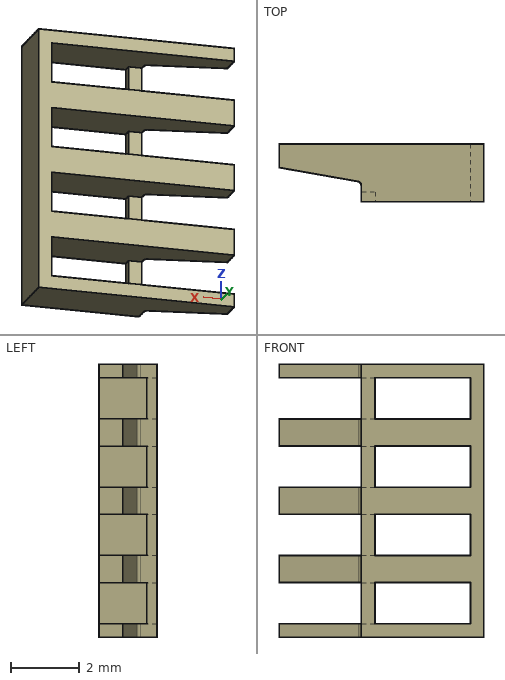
import cadquery as cq
import math

length = 6.0
depth = 1.7
height = 8.0

finger_length = 2.4
tip_depth = 0.7
taper_angle = 10.0
root_fillet = 0.1

gap_count = 4
pitch = height / gap_count
gap_height = 1.2

end_wall_width = 0.4
post_width = 0.41
post_thickness = 0.3

overshoot = 1.0


def make_blank():
    """Comb side profile, extruded over the full height."""
    root_y = depth - tip_depth - finger_length * math.tan(math.radians(taper_angle))
    blank = (
        cq.Workplane("XY")
        .moveTo(finger_length, 0)
        .lineTo(length, 0)
        .lineTo(length, depth)
        .lineTo(0, depth)
        .lineTo(0, depth - tip_depth)
        .lineTo(finger_length, root_y)
        .close()
        .extrude(height)
    )
    root_edge = cq.selectors.NearestToPointSelector((finger_length, root_y, height / 2))
    return blank.edges("|Z").edges(root_edge).fillet(root_fillet)


def make_cutter(x_start, x_end, y_start, z_start):
    """Box one gap high that runs out through the back of the part."""
    cutter_length = x_end - x_start
    cutter_depth = depth + overshoot - y_start
    cutter = cq.Workplane("XY").box(cutter_length, cutter_depth, gap_height, centered=False)
    return cutter.translate((x_start, y_start, z_start))


def cut_opening(body, gap_bottom):
    """Open one gap between neighbouring fingers, leaving the post across its front."""
    window_start = finger_length + post_width
    window_end = length - end_wall_width
    finger_gap = make_cutter(-overshoot, finger_length, -overshoot, gap_bottom)
    slot_behind_post = make_cutter(-overshoot, window_end, post_thickness, gap_bottom)
    front_window = make_cutter(window_start, window_end, -overshoot, gap_bottom)
    return body.cut(finger_gap).cut(slot_behind_post).cut(front_window)


result = make_blank()
for index in range(gap_count):
    result = cut_opening(result, index * pitch + (pitch - gap_height) / 2)